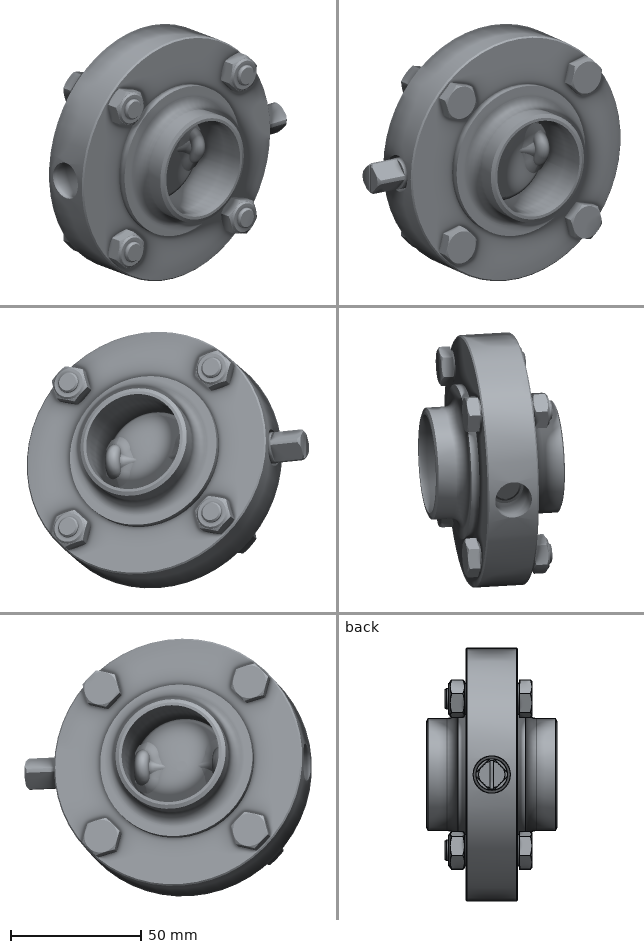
import cadquery as cq
import math


length = 50.0
flange_dia = 97.0
flange_width = 19.9
flange_chamfer = 0.5
hub_dia = 59.5
hub_width = 26.1
pipe_dia = 43.0
bore_dia = 38.0
neck_fillet = 4.0
pipe_end_dia = 40.2
pipe_end_chamfer_length = 0.7

disc_rim_width = 0.5
disc_edge_radius = 1.8
disc_crown = 0.4
disc_center_dia = 4.2

boss_dia = 15.3
boss_inner_y = 12.4
boss_outer_y = 18.2
flare_tip_y = 5.8
flare_corner_y = 8.3
flare_corner_z = 4.4
flare_bulge_y = 10.3
flare_bulge_z = 8.7
flare_side_y = 13.5
flare_side_z = 10.2
flare_end_z = 8.4
flare_top_x = 3.3
flare_top_corner_z = 3.8
flare_top_bulge_y = 13.1
flare_top_bulge_z = 5.6
flare_top_side_y = 14.2
flare_top_side_z = 6.8
flare_top_end_z = 5.7
trumpet_tip_dia = 4.6
trumpet_middle_dia = 5.7
trumpet_base_dia = 8.8

stem_dia = 12
stem_hole_dia = 14.2
stem_tip_y = 61.0
stem_flats_start_y = 49.1
stem_square = 9.5
stem_chamfer = 1.0
stem_hole_floor_y = 30.7
stem_low_end_y = 31.8
slot_width = 1.2
slot_depth = 0.4

bolt_count = 4
bolt_circle_dia = 82.1
hex_flats = 13.0
head_height = 4.7
washer_face_dia = 12
head_washer_face_height = 0.8
hex_end_dia = 12.8
hex_chamfer_angle = 30
nut_washer_face_height = 0.4
nut_height = 5.6
nut_collar_height = 0.7
nut_collar_dia = 12.7
nut_collar_end_dia = 11.4
thread_dia = 8.0
thread_end_dia = 6.8
thread_end_x = 18.0
thread_chamfer_length = 0.7


def cylinder_x(diameter, x_start, x_end):
    """Cylinder on the X axis."""
    return cq.Workplane("YZ", origin=(x_start, 0, 0)).circle(diameter / 2).extrude(x_end - x_start)


def cylinder_y(diameter, y_start, y_end):
    """Cylinder on the Y axis."""
    start = cq.Workplane(cq.Plane((0, y_start, 0), xDir=(1, 0, 0), normal=(0, 1, 0)))
    return start.circle(diameter / 2).extrude(y_end - y_start)


def make_body():
    """Flange, stepped hubs and pipe ends, with the bore through them."""
    end = length / 2
    flange_face = flange_width / 2
    hub_face = hub_width / 2
    pipe_radius = pipe_dia / 2
    flange_radius = flange_dia / 2
    fillet_dip = neck_fillet * (1 - math.sqrt(0.5))
    return (
        cq.Workplane("XY")
        .moveTo(0, bore_dia / 2)
        .lineTo(end, bore_dia / 2)
        .lineTo(end, pipe_end_dia / 2)
        .lineTo(end - pipe_end_chamfer_length, pipe_radius)
        .lineTo(hub_face + neck_fillet, pipe_radius)
        .threePointArc(
            (hub_face + fillet_dip, pipe_radius + fillet_dip),
            (hub_face, pipe_radius + neck_fillet),
        )
        .lineTo(hub_face, hub_dia / 2)
        .lineTo(flange_face, hub_dia / 2)
        .lineTo(flange_face, flange_radius - flange_chamfer)
        .lineTo(flange_face - flange_chamfer, flange_radius)
        .lineTo(0, flange_radius)
        .mirrorY()
        .revolve(360, (0, 0, 0), (1, 0, 0))
    )


def make_disc():
    """Slightly conical disc with a rounded edge; its rim is set into the bore wall."""
    rim_x = disc_rim_width / 2
    face_x = rim_x + disc_edge_radius
    bore_radius = bore_dia / 2
    rim_radius = bore_radius + disc_rim_width
    arc_step = disc_edge_radius * math.sqrt(0.5)
    center_x = face_x + disc_crown
    half = (
        cq.Workplane("XY")
        .lineTo(center_x, 0)
        .lineTo(center_x, disc_center_dia / 2)
        .lineTo(face_x, bore_radius - disc_edge_radius)
        .threePointArc(
            (rim_x + arc_step, bore_radius - disc_edge_radius + arc_step),
            (rim_x, bore_radius),
        )
        .lineTo(rim_x, rim_radius)
        .lineTo(0, rim_radius)
        .close()
        .revolve(360, (0, 0, 0), (1, 0, 0))
    )
    return half.union(half.mirror("YZ"))


def draw_flare_outline(plane, tip_y, corner, bulge, side, end_z):
    """Pointed outline, symmetric about Z = 0, given by (Y, Z) points on its +Z half."""

    def mirrored(point):
        return (point[0], -point[1])

    return (
        plane.moveTo(boss_outer_y, end_z)
        .lineTo(*side)
        .threePointArc(bulge, corner)
        .lineTo(tip_y, 0)
        .lineTo(*mirrored(corner))
        .threePointArc(mirrored(bulge), mirrored(side))
        .lineTo(boss_outer_y, -end_z)
        .close()
    )


def make_flare():
    """Transition from the +X face of the disc up to the +Y stem boss."""
    face_x = disc_rim_width / 2 + disc_edge_radius
    foot = draw_flare_outline(
        cq.Workplane("YZ", origin=(face_x, 0, 0)),
        flare_tip_y,
        (flare_corner_y, flare_corner_z),
        (flare_bulge_y, flare_bulge_z),
        (flare_side_y, flare_side_z),
        flare_end_z,
    )
    outlines = draw_flare_outline(
        foot.workplane(offset=flare_top_x - face_x),
        boss_inner_y,
        (boss_inner_y, flare_top_corner_z),
        (flare_top_bulge_y, flare_top_bulge_z),
        (flare_top_side_y, flare_top_side_z),
        flare_top_end_z,
    )
    return outlines.loft(ruled=True).intersect(cylinder_x(bore_dia + disc_rim_width, 0, flare_top_x))


def make_bosses():
    """Stem bosses with their flares and trumpets, at both ends of the disc and on both faces."""
    rim_radius = (boss_outer_y - boss_inner_y) / 2
    rim_start = boss_dia / 2 - rim_radius
    rim_center_y = boss_inner_y + rim_radius
    boss = (
        cq.Workplane("XY")
        .moveTo(0, boss_inner_y)
        .lineTo(rim_start, boss_inner_y)
        .threePointArc((boss_dia / 2, rim_center_y), (rim_start, boss_outer_y))
        .lineTo(0, boss_outer_y)
        .close()
        .revolve(360, (0, 0, 0), (0, 1, 0))
    )
    trumpet = (
        cq.Workplane("XY")
        .moveTo(0, flare_tip_y)
        .lineTo(trumpet_tip_dia / 2, flare_tip_y)
        .threePointArc(
            (trumpet_middle_dia / 2, (flare_tip_y + boss_inner_y) / 2),
            (trumpet_base_dia / 2, boss_inner_y),
        )
        .lineTo(trumpet_base_dia / 2, rim_center_y)
        .lineTo(0, rim_center_y)
        .close()
        .revolve(360, (0, 0, 0), (0, 1, 0))
    )
    flare = make_flare()
    end_boss = boss.union(trumpet).union(flare).union(flare.mirror("YZ"))
    return end_boss.union(end_boss.mirror("XZ"))


def make_stem():
    """Upper stem with a truncated square, and the short lower stem; both ends are slotted."""
    upper = cylinder_y(stem_dia, stem_hole_floor_y, stem_tip_y).faces(">Y").edges().chamfer(stem_chamfer)
    flats_length = stem_tip_y - stem_flats_start_y
    square = (
        cq.Workplane("XY")
        .box(stem_square, flats_length, stem_square)
        .rotate((0, 0, 0), (0, 1, 0), 45)
        .translate((0, stem_flats_start_y + flats_length / 2, 0))
    )
    round_part = cylinder_y(stem_dia, stem_hole_floor_y, stem_flats_start_y)
    upper = upper.intersect(square.union(round_part))

    lower = cylinder_y(stem_dia, -stem_low_end_y, -stem_hole_floor_y + stem_chamfer)
    lower = lower.faces("<Y").edges().chamfer(stem_chamfer)

    slot = cq.Workplane("XY").box(slot_width, 2 * slot_depth, stem_dia)
    upper = upper.cut(slot.translate((0, stem_tip_y, 0)))
    lower = lower.cut(slot.translate((0, -stem_low_end_y, 0)))
    return upper.union(lower)


def hexagon(x_start, x_end):
    """Hexagonal prism along X with two of its flats facing +Y and -Y."""
    corners_dia = hex_flats / math.cos(math.pi / 6)
    prism = cq.Workplane("YZ", origin=(x_start, 0, 0)).polygon(6, corners_dia).extrude(x_end - x_start)
    return prism.rotate((0, 0, 0), (1, 0, 0), 30)


def corner_cone(x_tip, x_base):
    """Chamfered round blank whose small end is at x_tip; it trims the corners of a hexagon."""
    blank_radius = hex_flats
    tip_radius = hex_end_dia / 2
    slope_length = (blank_radius - tip_radius) * math.tan(math.radians(hex_chamfer_angle))
    x_slope = x_tip + math.copysign(slope_length, x_base - x_tip)
    return (
        cq.Workplane("XY")
        .moveTo(x_tip, 0)
        .lineTo(x_tip, tip_radius)
        .lineTo(x_slope, blank_radius)
        .lineTo(x_base, blank_radius)
        .lineTo(x_base, 0)
        .close()
        .revolve(360, (0, 0, 0), (1, 0, 0))
    )


def make_bolt():
    """Bolt head on the -X side, nut and thread end on the +X side, on the X axis."""
    flange_face = flange_width / 2
    head_base = -flange_face - head_washer_face_height
    head_top = head_base - head_height
    head = hexagon(head_top, head_base).intersect(corner_cone(head_top, head_base))
    washer_face = cylinder_x(washer_face_dia, head_base, -flange_face)

    nut_base = flange_face + nut_washer_face_height
    nut_top = nut_base + nut_height
    collar_top = nut_top + nut_collar_height
    nut = hexagon(nut_base, nut_top)
    nut = nut.intersect(corner_cone(nut_base, nut_top))
    nut = nut.intersect(corner_cone(nut_top, nut_base))
    nut = nut.union(cylinder_x(washer_face_dia, flange_face, nut_base))
    collar_slope = (nut_collar_dia - nut_collar_end_dia) / 2
    collar = cylinder_x(nut_collar_dia, nut_base, collar_top)
    collar = collar.faces(">X").edges().chamfer(nut_collar_height, collar_slope)

    thread_chamfer_depth = (thread_dia - thread_end_dia) / 2
    thread = cylinder_x(thread_dia, nut_top, thread_end_x)
    thread = thread.faces(">X").edges().chamfer(thread_chamfer_length, thread_chamfer_depth)
    return head.union(washer_face).union(nut).union(collar).union(thread)


result = make_body().union(make_disc()).union(make_bosses())

for side in (1, -1):
    result = result.cut(cylinder_y(stem_hole_dia, side * stem_hole_floor_y, side * flange_dia / 2))
result = result.union(make_stem())

bolt = make_bolt().translate((0, bolt_circle_dia / 2, 0))
for index in range(bolt_count):
    angle = 360 / bolt_count * (index + 0.5)
    result = result.union(bolt.rotate((0, 0, 0), (1, 0, 0), angle))